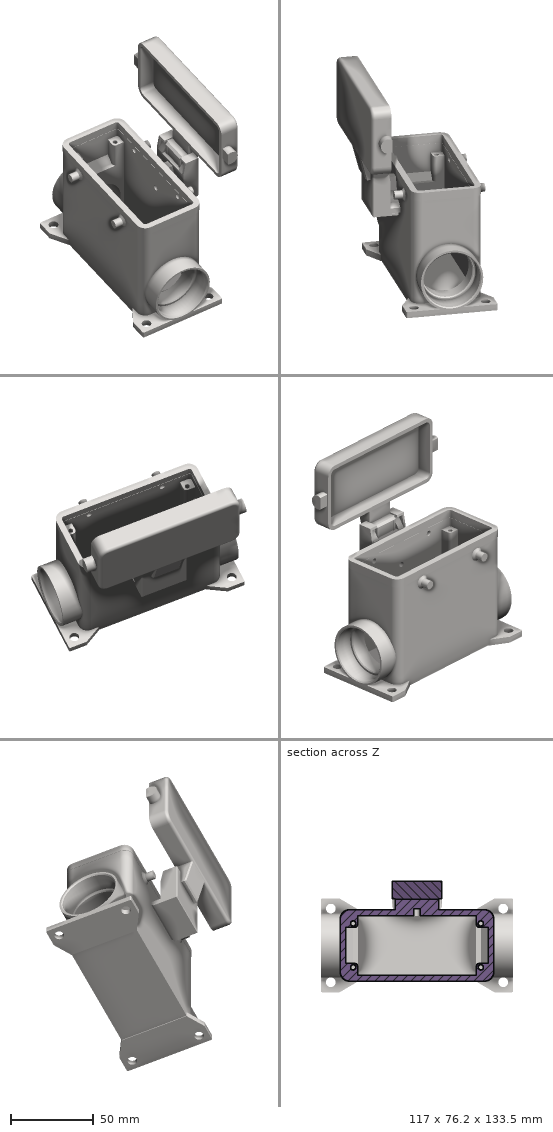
import cadquery as cq
import math


SHELL_X, SHELL_Y, SHELL_TOP = 94.0, 44.0, 76.6
SHELL_BOTTOM = 0.5
COLLAR_Z = 71.2
COLLAR_STEP = 0.1
CORNER_R = 6.0
WALL_X, WALL_Y = 3.7, 4.0
CAVITY_R = 1.6
FLOOR_Z = 7.0
CAVITY_X = SHELL_X - 2 * WALL_X
CAVITY_Y = SHELL_Y - 2 * WALL_Y

POST_X, POST_Y, POST_TOP = 7.2, 7.2, 65.4
POST_R = 2.0
POST_HOLE_R, POST_HOLE_DEPTH = 1.5, 10.7
POST_HOLE_X, POST_HOLE_Y = 38.8, 13.4
END_WALL_TOP = 48.9
END_WALL_SLOPE = 4.4

LENGTH_X = 117.0
ENTRY_Z = 22.2
ENTRY_R, ENTRY_BORE_R, ENTRY_HOLE_R = 19.5, 17.6, 15.6
ENTRY_BORE_DEPTH = 12.0
ENTRY_CHAMFER = 0.7

FOOT_Y, FOOT_T = 57.1, 4.0
FOOT_CORNER_X = 47.1
FOOT_TIP_X = 35.8
FOOT_R = 0.8
FOOT_HOLE_X, FOOT_HOLE_Y, FOOT_HOLE_R = 52.5, 22.4, 3.0

PIN_X, PIN_Z, PIN_R = 24.4, 67.4, 2.7
PIN_TIP_Y = 28.3
PIN_COLLAR_R, PIN_COLLAR_H = 4.3, 1.3
PIN_BORE_R = 1.7
SCREW_Z = 55.5

BOSS_FACE_Y = 28.3
BOSS_BOTTOM, BOSS_TOP = 51.7, 70.6
BOSS_HALF = 14.7
BOSS_TIP_HALF = 2.7
BOSS_NECK_HALF, BOSS_NECK_Z = 5.3, 63.0
BOSS_FLARE_HALF, BOSS_FLARE_Z = 11.0, 57.0
BOSS_SHOULDER_Z = 54.9

LID_X, LID_Z = 94.0, 44.0
LID_TOP = 133.5
LID_FRONT, LID_BACK = 35.2, 47.7
LID_EDGE_R = 2.0
LID_RIM = 2.5
LID_DEPTH = 9.3
LID_MID_Z = LID_TOP - LID_Z / 2
LID_BOTTOM = LID_TOP - LID_Z
PEG_SPAN, PEG_R, PEG_Y, PEG_FLAT_Y = 106.0, 4.7, 38.6, 36.2

ARM_X = 18.2
ARM_FRONT = 35.8
ARM_TOP_BACK, ARM_TOP_Z = 47.3, 91.5
ARM_LOW_BACK, ARM_LOW_Z = 42.2, 72.4
ARM_CHAMFER = 0.8

BRACKET_X = 30.2
BRACKET_BACK = 39.2
BRACKET_BOTTOM, BRACKET_TOP = 50.2, 81.6
BRACKET_TOP_FRONT = 29.9
BRACKET_SLOPE_Z = 72.6
BRACKET_LIP_Y = 23.2
BRACKET_CHAMFER = 0.4
CHEEK_T = 1.6
NOTCH_DEPTH = 1.0
POCKET_BACK = 36.0
POCKET_Z, POCKET_TOP = 72.1, 80.1
RAMP_Y, RAMP_TOP = 32.7, 78.5
CORE_X, CORE_FRONT = 16.3, 30.2
CORE_CHAMFER_Y, CORE_CHAMFER_Z = 1.6, 1.2
PANEL_X, PANEL_DEPTH, PANEL_TOP = 12.5, 0.4, 79.0


def block(x0, x1, y0, y1, z0, z1):
    """Axis-aligned box between two corners."""
    return cq.Workplane("XY").box(x1 - x0, y1 - y0, z1 - z0, centered=False).translate((x0, y0, z0))


def centred_block(width, y0, y1, z0, z1):
    """Box symmetric about X = 0."""
    return block(-width / 2, width / 2, y0, y1, z0, z1)


def rounded_prism(width, depth, z0, z1, radius):
    """Upright prism centred on Z with rounded vertical edges."""
    prism = centred_block(width, -depth / 2, depth / 2, z0, z1)
    return prism.edges("|Z").fillet(radius)


def rod(start, direction, length, radius):
    """Cylinder from a start point along a direction."""
    return cq.Workplane(cq.Solid.makeCylinder(radius, length, cq.Vector(*start), cq.Vector(*direction)))


def side_profile(points, width):
    """(Y, Z) outline extruded symmetrically along X."""
    return cq.Workplane("YZ").polyline(points).close().extrude(width / 2, both=True)



def shell():
    collar = rounded_prism(SHELL_X, SHELL_Y, COLLAR_Z, SHELL_TOP, CORNER_R)
    inset = 2 * COLLAR_STEP
    body = rounded_prism(SHELL_X - inset, SHELL_Y - inset, SHELL_BOTTOM, COLLAR_Z, CORNER_R - COLLAR_STEP)
    return body.union(collar)


def foot():
    """Mounting foot at the +X end, reaching inwards under the shell."""
    half_y = FOOT_Y / 2
    end_x = LENGTH_X / 2
    shell_y = SHELL_Y / 2 - COLLAR_STEP
    outline = [
        (FOOT_TIP_X, -shell_y), (FOOT_CORNER_X, -half_y), (end_x, -half_y),
        (end_x, half_y), (FOOT_CORNER_X, half_y), (FOOT_TIP_X, shell_y),
    ]
    plate = cq.Workplane("XY").polyline(outline).close().extrude(FOOT_T)
    plate = plate.edges("|Z and >X").fillet(FOOT_R)
    holes = [(FOOT_HOLE_X, -FOOT_HOLE_Y), (FOOT_HOLE_X, FOOT_HOLE_Y)]
    return plate.cut(cq.Workplane("XY").pushPoints(holes).circle(FOOT_HOLE_R).extrude(FOOT_T))


def cavity():
    """Inner space, narrowed by the end walls and the four corner posts."""
    inset = 2 * COLLAR_STEP
    space = rounded_prism(CAVITY_X - inset, CAVITY_Y - inset, FLOOR_Z, COLLAR_Z, CAVITY_R)
    space = space.union(rounded_prism(CAVITY_X, CAVITY_Y, COLLAR_Z, SHELL_TOP, CAVITY_R))
    wall_x = CAVITY_X / 2
    face_x = wall_x - POST_X
    slope_x = wall_x - END_WALL_SLOPE
    end_wall = (
        cq.Workplane("XZ")
        .polyline([
            (face_x, FLOOR_Z), (wall_x, FLOOR_Z), (wall_x, END_WALL_TOP + END_WALL_SLOPE),
            (slope_x, END_WALL_TOP), (face_x, END_WALL_TOP),
        ])
        .close()
        .extrude(CAVITY_Y / 2, both=True)
    )
    post = block(face_x, wall_x, CAVITY_Y / 2 - POST_Y, CAVITY_Y / 2, FLOOR_Z, POST_TOP)
    post = post.edges("|Z and <X and <Y").fillet(POST_R)
    post = post.cut(
        rod((POST_HOLE_X, POST_HOLE_Y, POST_TOP), (0, 0, -1), POST_HOLE_DEPTH, POST_HOLE_R)
    )
    fillers = end_wall.union(post).union(post.mirror("XZ"))
    return space.cut(fillers).cut(fillers.mirror("YZ"))


def entry_tube():
    """Cable entry collar at the +X end, still without its bore."""
    inner_x = CAVITY_X / 2
    return rod((inner_x, 0, ENTRY_Z), (1, 0, 0), LENGTH_X / 2 - inner_x, ENTRY_R)


def entry_bore():
    """Counterbored opening at the +X end with a chamfered mouth."""
    end_x = LENGTH_X / 2
    shoulder_x = end_x - ENTRY_BORE_DEPTH
    inner_x = CAVITY_X / 2 - POST_X
    profile = [
        (inner_x, 0), (inner_x, ENTRY_HOLE_R), (shoulder_x - ENTRY_CHAMFER, ENTRY_HOLE_R),
        (shoulder_x, ENTRY_HOLE_R + ENTRY_CHAMFER), (shoulder_x, ENTRY_BORE_R),
        (end_x - ENTRY_CHAMFER, ENTRY_BORE_R), (end_x, ENTRY_BORE_R + ENTRY_CHAMFER), (end_x, 0),
    ]
    bore = cq.Workplane("XY").polyline(profile).close().revolve(360, (0, 0, 0), (1, 0, 0))
    above_floor = block(inner_x, end_x, -ENTRY_R, ENTRY_R, 0, ENTRY_Z + ENTRY_R)
    return bore.translate((0, 0, ENTRY_Z)).intersect(above_floor)


def locking_pin():
    """Pin with a conical collar, standing on the -Y wall at X = 0."""
    root_y = SHELL_Y / 2 - COLLAR_STEP
    pin = rod((0, -root_y, PIN_Z), (0, -1, 0), PIN_TIP_Y - root_y, PIN_R)
    collar = cq.Solid.makeCone(
        PIN_COLLAR_R, PIN_R, PIN_COLLAR_H, cq.Vector(0, -root_y, PIN_Z), cq.Vector(0, -1, 0)
    )
    return pin.union(cq.Workplane(collar))


def bracket_boss():
    """Bell-shaped boss between the +Y wall and the hinge bracket."""
    dip = 1 - math.sqrt(0.5)
    mid_x = BOSS_NECK_HALF + dip * (BOSS_FLARE_HALF - BOSS_NECK_HALF)
    mid_z = BOSS_FLARE_Z + dip * (BOSS_NECK_Z - BOSS_FLARE_Z)
    root_y = SHELL_Y / 2 - COLLAR_STEP
    return (
        cq.Workplane("XZ", origin=(0, root_y, 0))
        .moveTo(-BOSS_HALF, BOSS_BOTTOM)
        .lineTo(BOSS_HALF, BOSS_BOTTOM)
        .lineTo(BOSS_HALF, BOSS_SHOULDER_Z)
        .lineTo(BOSS_FLARE_HALF, BOSS_FLARE_Z)
        .threePointArc((mid_x, mid_z), (BOSS_NECK_HALF, BOSS_NECK_Z))
        .lineTo(BOSS_TIP_HALF, BOSS_TOP)
        .lineTo(-BOSS_TIP_HALF, BOSS_TOP)
        .lineTo(-BOSS_NECK_HALF, BOSS_NECK_Z)
        .threePointArc((-mid_x, mid_z), (-BOSS_FLARE_HALF, BOSS_FLARE_Z))
        .lineTo(-BOSS_HALF, BOSS_SHOULDER_Z)
        .close()
        .extrude(root_y - BOSS_FACE_Y)
    )


def make_housing():
    body = shell()
    for part in (foot(), entry_tube()):
        body = body.union(part).union(part.mirror("YZ"))
    body = body.cut(cavity())
    bore = entry_bore()
    body = body.cut(bore).cut(bore.mirror("YZ"))
    body = body.union(bracket_boss())
    for x in (-PIN_X, PIN_X):
        pin = locking_pin().translate((x, 0, 0))
        body = body.union(pin).union(pin.mirror("XZ"))
        body = body.cut(rod((x, -SHELL_Y / 2, PIN_Z), (0, 1, 0), SHELL_Y, PIN_BORE_R))
    return body.cut(rod((0, 0, SCREW_Z), (0, 1, 0), SHELL_Y / 2, PIN_BORE_R))



def lid():
    tray = centred_block(LID_X, LID_FRONT, LID_BACK, LID_BOTTOM, LID_TOP)
    tray = tray.edges("|Y").fillet(CORNER_R)
    tray = tray.faces(">Y").edges().fillet(LID_EDGE_R)
    recess = centred_block(
        LID_X - 2 * LID_RIM, LID_FRONT, LID_FRONT + LID_DEPTH, LID_BOTTOM + LID_RIM, LID_TOP - LID_RIM
    )
    return tray.cut(recess.edges("|Y").fillet(CORNER_R - LID_RIM))


def lid_peg():
    """Closing peg at the +X end of the lid, flattened on its open side."""
    root_x = LID_X / 2 - LID_RIM
    peg = rod((root_x, PEG_Y, LID_MID_Z), (1, 0, 0), PEG_SPAN / 2 - root_x, PEG_R)
    flat = block(root_x, PEG_SPAN / 2, PEG_FLAT_Y - PEG_R, PEG_FLAT_Y, LID_BOTTOM, LID_TOP)
    return peg.cut(flat)


def arm():
    outline = [
        (ARM_FRONT, ARM_LOW_Z), (ARM_FRONT, LID_BOTTOM + LID_RIM),
        (LID_BACK - LID_EDGE_R, LID_BOTTOM + LID_RIM), (ARM_TOP_BACK, ARM_TOP_Z),
        (ARM_LOW_BACK, ARM_LOW_Z),
    ]
    bar = side_profile(outline, ARM_X)
    middle_of_slope = (0, (ARM_TOP_BACK + ARM_LOW_BACK) / 2, (ARM_TOP_Z + ARM_LOW_Z) / 2)
    slope = cq.selectors.NearestToPointSelector(middle_of_slope)
    return bar.faces(slope).edges().chamfer(ARM_CHAMFER)


def bracket():
    body = side_profile(
        [
            (BRACKET_LIP_Y, BRACKET_BOTTOM), (BRACKET_BACK, BRACKET_BOTTOM), (BRACKET_BACK, BRACKET_TOP),
            (BRACKET_TOP_FRONT, BRACKET_TOP), (BOSS_FACE_Y, BRACKET_SLOPE_Z),
            (BOSS_FACE_Y, BOSS_BOTTOM), (BRACKET_LIP_Y, BOSS_BOTTOM),
        ],
        BRACKET_X,
    )
    body = body.faces(">Y").edges().chamfer(BRACKET_CHAMFER)
    strip_z = BRACKET_TOP - NOTCH_DEPTH
    notch = centred_block(ARM_X, BOSS_FACE_Y, BRACKET_BACK, strip_z, BRACKET_TOP)
    pocket = centred_block(BRACKET_X - 2 * CHEEK_T, BOSS_FACE_Y, POCKET_BACK, POCKET_Z, POCKET_TOP)
    body = body.cut(notch).cut(pocket)
    ramp = side_profile(
        [
            (BOSS_FACE_Y, POCKET_Z), (POCKET_BACK, POCKET_Z),
            (POCKET_BACK, RAMP_TOP), (RAMP_Y, RAMP_TOP),
        ],
        BRACKET_X - 2 * CHEEK_T,
    )
    core = side_profile(
        [
            (CORE_FRONT, POCKET_Z), (POCKET_BACK, POCKET_Z), (POCKET_BACK, strip_z),
            (CORE_FRONT + CORE_CHAMFER_Y, strip_z), (CORE_FRONT, strip_z - CORE_CHAMFER_Z),
        ],
        CORE_X,
    )
    panel = centred_block(PANEL_X, CORE_FRONT, CORE_FRONT + PANEL_DEPTH, POCKET_Z, PANEL_TOP)
    strip_clearance = centred_block(ARM_X, BOSS_FACE_Y, CORE_FRONT + CORE_CHAMFER_Y, POCKET_Z, BRACKET_TOP)
    return body.union(ramp).cut(strip_clearance).union(core.cut(panel))


def make_cover():
    peg = lid_peg()
    return lid().union(peg).union(peg.mirror("YZ")).union(arm()).union(bracket())


housing = make_housing()
cover = make_cover()
result = cq.Compound.makeCompound([housing.val(), cover.val()])